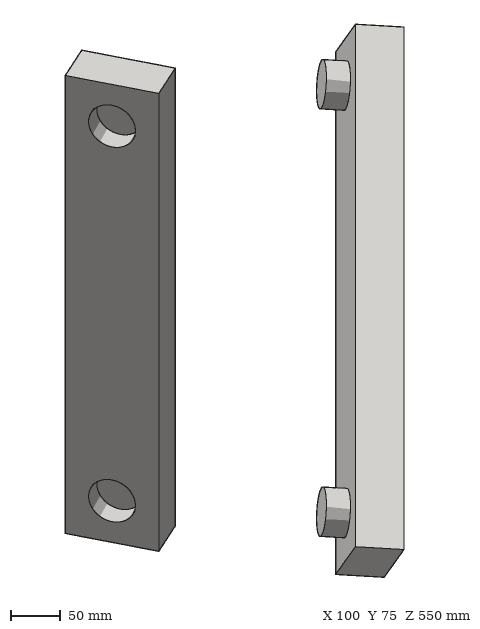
import cadquery as cq

bar_height = 550.0
bar_width = 100.0
bar_depth = 50.0
stud_diameter = 50.0
stud_length = 25.0
socket_depth = stud_length
end_distance = bar_width / 2

stud_offset = bar_height / 2 - end_distance
back_face = bar_depth / 2
front_face = -bar_depth / 2


def cylinder_along_y(start_y, length, center_z):
    """Round body of stud diameter, extending toward +Y from start_y."""
    return cq.Workplane(
        cq.Solid.makeCylinder(
            stud_diameter / 2, length, cq.Vector(0, start_y, center_z), cq.Vector(0, 1, 0)
        )
    )


result = cq.Workplane("XY").box(bar_width, bar_depth, bar_height)

for center_z in (-stud_offset, stud_offset):
    result = result.cut(cylinder_along_y(front_face, socket_depth, center_z))
    result = result.union(cylinder_along_y(back_face, stud_length, center_z))